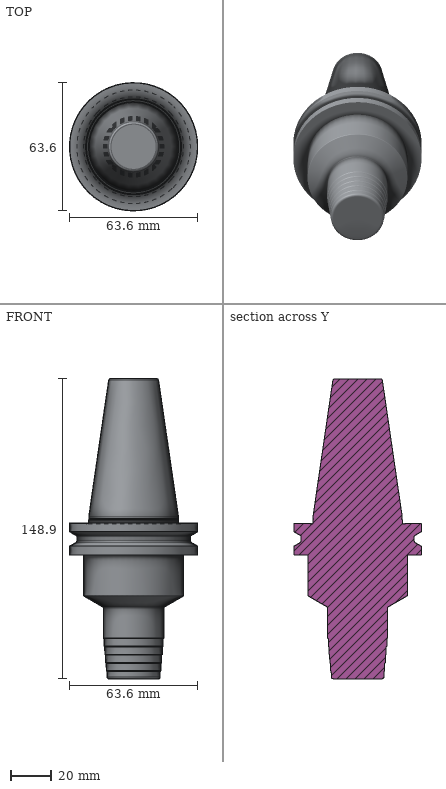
import cadquery as cq
import math


gauge_radius = 44.45 / 2
taper_length = 68.4
taper_slope = 7 / 24 / 2
taper_end_round = 1.2
taper_end_radius = gauge_radius - taper_length * taper_slope

land_height = 0.9
collar_radius = 22.35
relief_bevel = 0.3
relief_width = 0.8

face_recess_radius = 23.75
face_recess_depth = 0.4

flange_radius = 63.55 / 2
flange_top = -3.2
flange_bottom = -19.1
groove_center = -11.1
groove_mouth = 7.2
groove_floor_radius = 56.25 / 2
groove_flank_angle = 30
groove_upper_round = 0.5
groove_lower_round = 1.1

body_radius = 24.75
body_bottom = -39.3
shoulder_angle = 30
shoulder_round = 0.5
nose_radius = 15
nose_bottom = -80.5

tier_count = 5
tier_top = -60.1
tier_pitch = 4.07
tier_bevel_width = 0.31
tier_bevel_height = 0.4
tier_taper = 0.06
nose_end_round = 1.2

selection_margin = 0.05

groove_depth = flange_radius - groove_floor_radius
flank_rise = groove_depth * math.tan(math.radians(groove_flank_angle))
groove_top = groove_center + groove_mouth / 2
groove_bottom = groove_center - groove_mouth / 2
shoulder_drop = (body_radius - nose_radius) * math.tan(math.radians(shoulder_angle))


def tier_points():
    """Outline (radius, height) of the tiers, from the nose cylinder down to the end face."""
    points = []
    radius = nose_radius
    for tier in range(tier_count):
        top = tier_top - tier * tier_pitch
        points.append((radius, top))
        points.append((radius - tier_bevel_width, top - tier_bevel_height))
        radius -= tier_bevel_width + tier_taper
    points.append((radius, nose_bottom))
    return points


def holder_outline():
    """Half section (radius, height) of the holder with sharp corners, from top to bottom."""
    return [
        (0, taper_length),
        (taper_end_radius, taper_length),
        (gauge_radius, 0),
        (gauge_radius, -land_height),
        (gauge_radius - relief_bevel, -land_height - relief_bevel),
        (collar_radius, -land_height - relief_width),
        (collar_radius, flange_top - face_recess_depth),
        (face_recess_radius - face_recess_depth, flange_top - face_recess_depth),
        (face_recess_radius, flange_top),
        (flange_radius, flange_top),
        (flange_radius, groove_top),
        (groove_floor_radius, groove_top - flank_rise),
        (groove_floor_radius, groove_bottom + flank_rise),
        (flange_radius, groove_bottom),
        (flange_radius, flange_bottom),
        (body_radius, flange_bottom),
        (body_radius, body_bottom),
        (nose_radius, body_bottom - shoulder_drop),
        *tier_points(),
        (0, nose_bottom),
    ]


def round_corner(solid, radius, corner_radius, height):
    """Round the circular edge of the given radius at the given height."""
    reach = corner_radius + selection_margin
    low_corner = (-reach, -reach, height - selection_margin)
    high_corner = (reach, reach, height + selection_margin)
    box = cq.selectors.BoxSelector(low_corner, high_corner, boundingbox=True)
    return solid.edges(box).edges("%CIRCLE").fillet(radius)


holder = cq.Workplane("XZ").polyline(holder_outline()).close().revolve(360, (0, 0, 0), (0, 1, 0))
end_radius = tier_points()[-1][0]
for radius, corner_radius, height in [
    (taper_end_round, taper_end_radius, taper_length),
    (groove_upper_round, groove_floor_radius, groove_top - flank_rise),
    (groove_lower_round, groove_floor_radius, groove_bottom + flank_rise),
    (shoulder_round, body_radius, body_bottom),
    (shoulder_round, nose_radius, body_bottom - shoulder_drop),
    (nose_end_round, end_radius, nose_bottom),
]:
    holder = round_corner(holder, radius, corner_radius, height)

result = holder